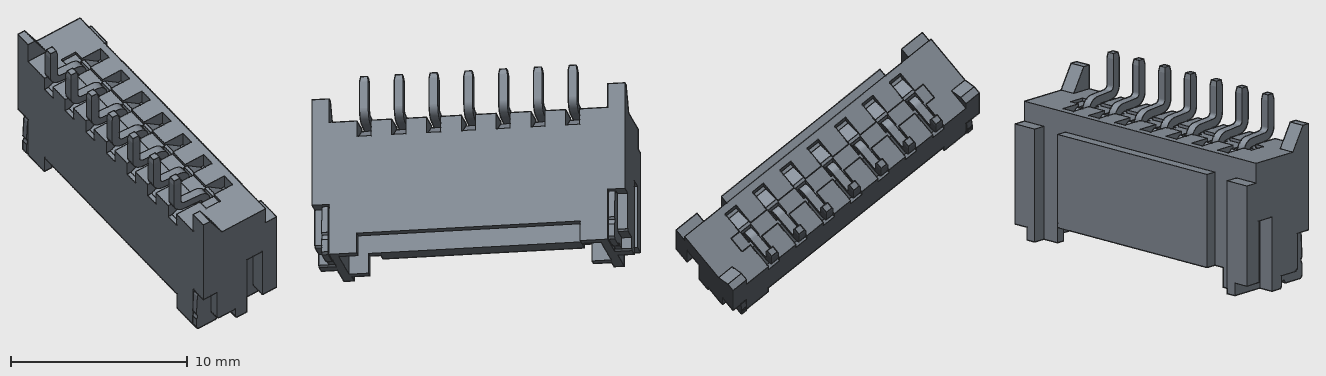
import cadquery as cq
import math


body_width = 18.0
half_width = body_width / 2
body_depth = 4.34
shoulder_z = 7.85
rear_step_z = 6.68

ear_width = 0.99
ear_top_z = 9.25
ear_top_depth = 0.47
ear_foot_depth = 1.3

corner_pad_width = 1.53
corner_pad_back = 5.11
center_pad_width = 11.6
center_pad_back = 4.99

foot_notch_width = 12.85
foot_notch_height = 1.17
side_channel_depth = 0.94
side_channel_front = 3.05
side_channel_back = 4.12
side_channel_top = 4.4
corner_pad_bottom = 0.75

wall = 0.52
cavity_half_width = half_width - side_channel_depth - wall
cavity_height = side_channel_top

pocket_height = 2.97
pocket_depth = 0.94
pocket_foot_back = 2.23
pocket_foot_height = 0.75
pocket_round = 0.1
pocket_lead_in = 0.1
tab_outer_inset = 0.58
tab_thickness = 0.36
tab_front = -0.07
tab_toe_y = 0.05
tab_toe_z = 0.15
tab_top_y = 0.05
tab_lead_z = 2.7
tab_step_z = 2.86
tab_shoulder_y = 0.45
barb_z = 1.3
nick_y = 0.0
nick_top_z = 1.15
nick_bottom_z = 0.86
nick_radius = 0.36
foot_nick_back = 1.7
foot_nick_front = 1.3
foot_nick_slope = 0.09
foot_nick_z = 0.18

pin_count = 7
pin_pitch = 2.0
pin_size = 0.5
pin_front = -0.07
pin_top = 10.45
pin_tip_height = 0.32
pin_tip_inset = 0.05
bend_inner = 0.25
bend_outer = bend_inner + pin_size
leg_back = 2.43
arm_bottom_z = 7.72
arm_rise = 0.07
pin_root_z = 7.02

slot_width = 0.81
slot_floor_z = 6.93
slot_back = 3.9
front_ramp_start = 0.27
front_ramp_end = 1.45
rear_ramp_start = 2.75
rear_ramp_end = 3.69
trench_width = 14.04
trench_front = 1.62
trench_back = 2.61
trench_floor_z = 7.67
funnel_size = 0.75
funnel_y = leg_back - pin_size / 2
funnel_depth = 0.45


def box(x0, x1, y0, y1, z0, z1):
    """Block between opposite corners."""
    return cq.Workplane("XY").box(x1 - x0, y1 - y0, z1 - z0, centered=False).translate((x0, y0, z0))


def side_plane(x):
    """Sketch plane at a given X whose local axes are Y and Z."""
    return cq.Workplane("YZ", origin=(x, 0, 0))


def both_ends(shape):
    """Shape at the left end together with its mirror image at the right end."""
    return shape.union(shape.mirror("YZ"))


def make_housing():
    left = -half_width
    housing = box(left, half_width, 0, body_depth, 0, shoulder_z)
    half_pad = center_pad_width / 2
    housing = housing.union(box(-half_pad, half_pad, body_depth, center_pad_back, 0, rear_step_z))

    ear = (
        side_plane(left)
        .polyline([
            (0, 0),
            (0, ear_top_z),
            (ear_top_depth, ear_top_z),
            (ear_foot_depth, shoulder_z),
            (ear_foot_depth, 0),
        ])
        .close()
        .extrude(ear_width)
    )
    corner_pad = box(left, left + corner_pad_width, body_depth, corner_pad_back, 0, rear_step_z)
    housing = housing.union(both_ends(ear)).union(both_ends(corner_pad))

    channel_floor = left + side_channel_depth
    channel = box(left, channel_floor, side_channel_front, side_channel_back, 0, side_channel_top)
    pad_relief = box(left, channel_floor, side_channel_back, corner_pad_back, 0, corner_pad_bottom)
    housing = housing.cut(both_ends(channel.union(pad_relief)))

    half_notch = foot_notch_width / 2
    foot_notch = box(-half_notch, half_notch, 0, corner_pad_back, 0, foot_notch_height)
    cavity = box(-cavity_half_width, cavity_half_width, wall, body_depth - wall, 0, cavity_height)
    return housing.cut(foot_notch).cut(cavity)


def make_tab_pocket():
    """L-shaped recess in the left end, open at the front and the bottom."""
    return (
        side_plane(-half_width)
        .moveTo(0, 0)
        .lineTo(0, pocket_height)
        .lineTo(pocket_depth, pocket_height)
        .lineTo(pocket_depth, pocket_foot_height + pocket_round)
        .radiusArc((pocket_depth + pocket_round, pocket_foot_height), pocket_round)
        .lineTo(pocket_foot_back, pocket_foot_height)
        .lineTo(pocket_foot_back, pocket_lead_in)
        .lineTo(pocket_foot_back + pocket_lead_in, 0)
        .close()
        .extrude(ear_width)
    )


def make_tab():
    """Flat L-shaped solder tab with a nick in its front edge and another below its foot."""
    return (
        side_plane(-half_width + tab_outer_inset)
        .moveTo(tab_toe_y, 0)
        .lineTo(tab_front, tab_toe_z)
        .lineTo(tab_front, nick_bottom_z)
        .radiusArc((nick_y, nick_top_z), -nick_radius)
        .lineTo(tab_front, barb_z)
        .lineTo(nick_y, tab_lead_z)
        .lineTo(tab_top_y, tab_step_z)
        .lineTo(tab_shoulder_y, tab_step_z)
        .lineTo(tab_shoulder_y, pocket_height)
        .lineTo(pocket_depth, pocket_height)
        .lineTo(pocket_depth, pocket_foot_height + pocket_round)
        .radiusArc((pocket_depth + pocket_round, pocket_foot_height), pocket_round)
        .lineTo(pocket_foot_back, pocket_foot_height)
        .lineTo(pocket_foot_back, pocket_lead_in)
        .lineTo(foot_nick_back, pocket_lead_in)
        .lineTo(foot_nick_back - foot_nick_slope, foot_nick_z)
        .lineTo(foot_nick_front + foot_nick_slope, foot_nick_z)
        .lineTo(foot_nick_front, 0)
        .close()
        .extrude(tab_thickness)
    )


def make_slot(x):
    """Slot for one pin: a low floor at each end and ramps up to the trench floor."""
    return (
        side_plane(x)
        .polyline([
            (0, shoulder_z),
            (0, slot_floor_z),
            (front_ramp_start, slot_floor_z),
            (front_ramp_end, trench_floor_z),
            (rear_ramp_start, trench_floor_z),
            (rear_ramp_end, slot_floor_z),
            (slot_back, slot_floor_z),
            (slot_back, shoulder_z),
        ])
        .close()
        .extrude(slot_width / 2, both=True)
    )


def make_funnel(x):
    """Tapered opening that narrows to the pin leg."""
    taper = math.degrees(math.atan((funnel_size - pin_size) / 2 / funnel_depth))
    return (
        cq.Workplane("XY", origin=(x, funnel_y, trench_floor_z))
        .rect(funnel_size, funnel_size)
        .extrude(-funnel_depth, taper=taper)
    )


def make_pin(x):
    """Square pin: leg in the housing, slightly rising arm, upright post with a tapered tip."""
    post_back = pin_front + pin_size
    leg_front = leg_back - pin_size
    arm_front_z = arm_bottom_z + arm_rise
    tip_base = pin_top - pin_tip_height
    bar = (
        side_plane(x)
        .moveTo(pin_front, tip_base)
        .lineTo(pin_front, arm_front_z + bend_outer)
        .radiusArc((pin_front + bend_outer, arm_front_z), -bend_outer)
        .lineTo(leg_front - bend_inner, arm_bottom_z)
        .radiusArc((leg_front, arm_bottom_z - bend_inner), bend_inner)
        .lineTo(leg_front, pin_root_z)
        .lineTo(leg_back, pin_root_z)
        .lineTo(leg_back, arm_bottom_z - bend_inner)
        .radiusArc((leg_back - bend_outer, arm_bottom_z + pin_size), -bend_outer)
        .lineTo(post_back + bend_inner, arm_front_z + pin_size)
        .radiusArc((post_back, arm_front_z + bend_outer), bend_inner)
        .lineTo(post_back, tip_base)
        .close()
        .extrude(pin_size / 2, both=True)
    )
    tip = (
        cq.Workplane("XY", origin=(x, pin_front + pin_size / 2, tip_base))
        .rect(pin_size, pin_size)
        .extrude(pin_tip_height, taper=math.degrees(math.atan(pin_tip_inset / pin_tip_height)))
    )
    return bar.union(tip)


result = make_housing()
result = result.cut(both_ends(make_tab_pocket())).union(both_ends(make_tab()))

half_trench = trench_width / 2
result = result.cut(box(-half_trench, half_trench, trench_front, trench_back, trench_floor_z, shoulder_z))

pin_places = [(i - (pin_count - 1) / 2) * pin_pitch for i in range(pin_count)]
for pin_x in pin_places:
    result = result.cut(make_slot(pin_x)).cut(make_funnel(pin_x))
for pin_x in pin_places:
    result = result.union(make_pin(pin_x))